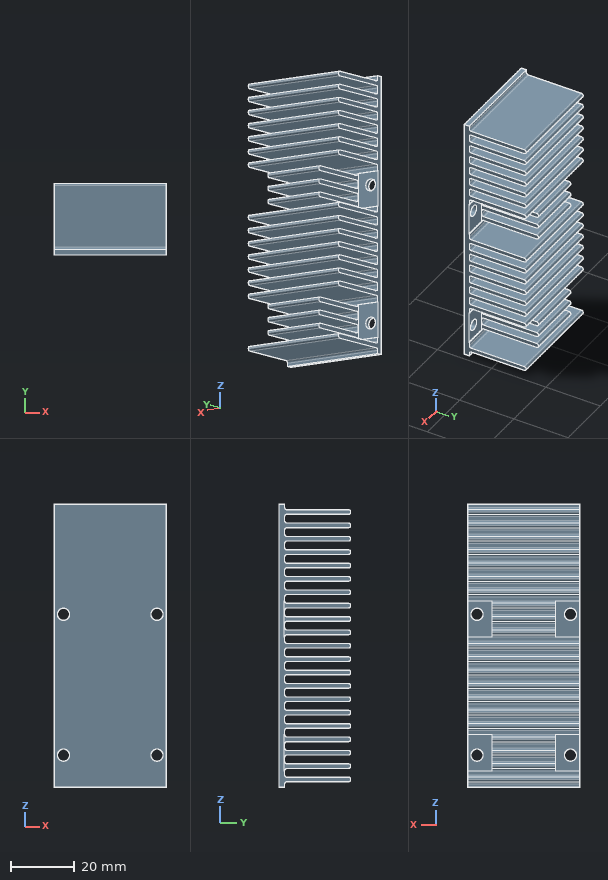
import cadquery as cq

WIDTH = 35.6
DEPTH = 22.8
HEIGHT = 89.9

PLATE_THICKNESS = 1.9

FIN_COUNT = 21
FIN_THICKNESS = 1.5
END_FIN_INSET = 2.5
FIN_PITCH = (HEIGHT - 2 * END_FIN_INSET) / (FIN_COUNT - 1)
TIP_RADIUS = 0.7
ROOT_RADIUS = 0.7

HOLE_DIAMETER = 3.8
HOLE_SIDE_INSET = 3.0
LOWER_HOLE_Z = 10.25
HOLE_SPACING = 44.7

NOTCH_DEPTH = 7.7
NOTCH_FLOOR = 1.7
NOTCH_FINS = 3
NOTCH_HEIGHT = (NOTCH_FINS - 1) * FIN_PITCH + FIN_THICKNESS + 2 * ROOT_RADIUS
NOTCH_CENTRE_FINS = (2, 12)


def fin_z(index):
    """Centre height of a fin, counted from 0 at the bottom."""
    return END_FIN_INSET + index * FIN_PITCH


def finned_plate():
    """Plate with rounded fins on its back, blended into it by root fillets."""
    body = cq.Workplane("XY").box(WIDTH, PLATE_THICKNESS, HEIGHT, centered=(True, False, False))
    fin_length = DEPTH - PLATE_THICKNESS
    for index in range(FIN_COUNT):
        fin = (
            cq.Workplane("XY")
            .box(WIDTH, fin_length, FIN_THICKNESS, centered=(True, False, True))
            .edges("|X and >Y")
            .fillet(TIP_RADIUS)
            .translate((0, PLATE_THICKNESS, fin_z(index)))
        )
        body = body.union(fin)

    reach = ROOT_RADIUS / 2
    lowest_root = fin_z(0) - FIN_THICKNESS / 2
    root_edges = cq.selectors.BoxSelector(
        (-WIDTH, PLATE_THICKNESS - reach, lowest_root - reach),
        (WIDTH, PLATE_THICKNESS + reach, HEIGHT - lowest_root + reach),
    )
    return body.edges("|X").edges(root_edges).fillet(ROOT_RADIUS)


def access_notches():
    """Blocks that clear the fin ends around each hole, cutting slightly into the plate."""
    centres = [
        (side * (WIDTH - NOTCH_DEPTH) / 2, fin_z(index))
        for side in (-1, 1)
        for index in NOTCH_CENTRE_FINS
    ]
    return (
        cq.Workplane("XZ", origin=(0, NOTCH_FLOOR, 0))
        .pushPoints(centres)
        .rect(NOTCH_DEPTH, NOTCH_HEIGHT)
        .extrude(-(DEPTH - NOTCH_FLOOR))
    )


def mounting_holes():
    """Four cylinders through the plate thickness."""
    centres = [
        (side * (WIDTH / 2 - HOLE_SIDE_INSET), z)
        for side in (-1, 1)
        for z in (LOWER_HOLE_Z, LOWER_HOLE_Z + HOLE_SPACING)
    ]
    return cq.Workplane("XZ").pushPoints(centres).circle(HOLE_DIAMETER / 2).extrude(-PLATE_THICKNESS)


result = finned_plate().cut(access_notches()).cut(mounting_holes())